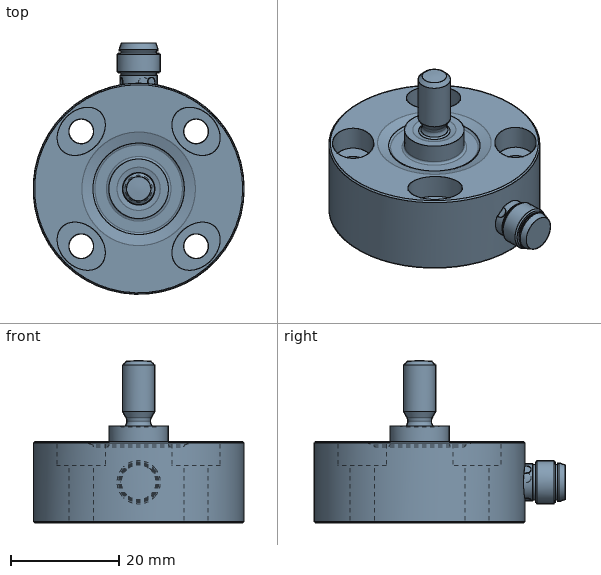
import cadquery as cq
import math

body_radius = 19.5
body_height = 15.0
body_chamfer = 0.3

dish_rim_radius = 10.5
dish_cone_radius = 8.45
dish_cone_depth = 0.6
dish_fillet = 0.35
collar_fillet = 0.45

collar_radius = 11.0 / 2
collar_top = body_height + 2.93
collar_dish_radius = 8.0 / 2
collar_dish_depth = 0.25
collar_dish_floor_radius = 5.8 / 2

stud_radius = 6.0 / 2
neck_radius = 4.4 / 2
root_radius = 2.5
root_height = 17.9
neck_bottom = 18.75
neck_top = 18.85
neck_flare_radius = 2.35
neck_flare_top = 19.45
stud_shoulder = 20.55
stud_top = 30.0
tip_height = 0.15
stud_chamfer = 0.75

mount_circle_radius = 15.0
mount_hole_diameter = 4.5
mount_angles = (45, 135, 225, 315)
pocket_half_length = 5.0
pocket_half_width = 3.8
pocket_depth = 4.4

connector_root = 16.7
connector_end = 26.95
stub_radius = 6.9 / 2
stub_end = 21.0
stub_chamfer = 0.1
groove_radius = 6.6 / 2
nut_radius = 8.0 / 2
nut_start = 21.4
nut_end = 25.05
nut_chamfer = 0.3
lip_radius = 7.2 / 2
lip_start = 25.5
lip_end = 25.75
connector_end_radius = 6.4 / 2

recess_diameter = 1.9
recess_depth = 0.2
recess_y = 19.65
recess_angles = (45, 165, 285)


def make_turned_body():
    """Body, dish, collar and stud as one revolved half profile."""
    dish_edge = body_height - dish_cone_depth
    dish_floor = dish_edge - dish_fillet
    collar_dish_floor = collar_top - collar_dish_depth
    root_spread = root_radius - neck_radius
    root_drop = neck_bottom - root_height
    root_arc_radius = (root_spread**2 + root_drop**2) / (2 * root_spread)
    root_arc_angle = math.asin(root_drop / root_arc_radius)
    stud_end = stud_top - tip_height
    diagonal = math.sqrt(0.5)
    fillet_sag = 1 - diagonal
    return (
        cq.Workplane("XZ")
        .lineTo(body_radius - body_chamfer, 0)
        .lineTo(body_radius, body_chamfer)
        .lineTo(body_radius, body_height - body_chamfer)
        .lineTo(body_radius - body_chamfer, body_height)
        .lineTo(dish_rim_radius, body_height)
        .lineTo(dish_cone_radius, dish_edge)
        .threePointArc(
            (dish_cone_radius - dish_fillet * fillet_sag, dish_floor + dish_fillet * fillet_sag),
            (dish_cone_radius - dish_fillet, dish_floor),
        )
        .lineTo(collar_radius + collar_fillet, dish_floor)
        .threePointArc(
            (collar_radius + collar_fillet * fillet_sag, dish_floor + collar_fillet * fillet_sag),
            (collar_radius, dish_floor + collar_fillet),
        )
        .lineTo(collar_radius, collar_top)
        .lineTo(collar_dish_radius, collar_top)
        .lineTo(collar_dish_floor_radius, collar_dish_floor)
        .lineTo(root_radius, root_height)
        .threePointArc(
            (neck_radius + root_arc_radius * (1 - math.cos(root_arc_angle / 2)),
             neck_bottom - root_arc_radius * math.sin(root_arc_angle / 2)),
            (neck_radius, neck_bottom),
        )
        .lineTo(neck_radius, neck_top)
        .tangentArcPoint((neck_flare_radius, neck_flare_top), relative=False)
        .lineTo(stud_radius, stud_shoulder)
        .lineTo(stud_radius, stud_end - stud_chamfer)
        .lineTo(stud_radius - stud_chamfer, stud_end)
        .lineTo(0, stud_top)
        .close()
        .revolve(360, (0, 0, 0), (0, 1, 0))
    )


def make_connector():
    """Turned connector along +Y: stub, nut and end lip separated by grooves."""
    connector = (
        cq.Workplane("XY")
        .moveTo(0, connector_root)
        .lineTo(stub_radius, connector_root)
        .lineTo(stub_radius, stub_end - stub_chamfer)
        .lineTo(stub_radius - stub_chamfer, stub_end)
        .lineTo(groove_radius, stub_end)
        .lineTo(groove_radius, nut_start)
        .lineTo(nut_radius - nut_chamfer, nut_start)
        .lineTo(nut_radius, nut_start + nut_chamfer)
        .lineTo(nut_radius, nut_end - nut_chamfer)
        .lineTo(nut_radius - nut_chamfer, nut_end)
        .lineTo(groove_radius, nut_end)
        .lineTo(groove_radius, lip_start)
        .lineTo(lip_radius, lip_start)
        .lineTo(lip_radius, lip_end)
        .lineTo(connector_end_radius, connector_end)
        .lineTo(0, connector_end)
        .close()
        .revolve(360, (0, 0, 0), (0, 1, 0))
    )
    for angle in recess_angles:
        connector = connector.cut(make_recess_cutter(angle))
    return connector.translate((0, 0, body_height / 2))


def make_recess_cutter(angle):
    """Radial cylinder that cuts one recess, turned from +X towards +Z."""
    cutter = (
        cq.Workplane("YZ", origin=(stub_radius - recess_depth, recess_y, 0))
        .circle(recess_diameter / 2)
        .extrude(stub_radius)
    )
    return cutter.rotate((0, 0, 0), (0, 1, 0), -angle)


def make_mount_cutters():
    """Through holes with elliptical pockets, long axis along the bolt circle."""
    cutter = (
        cq.Workplane("XY", origin=(mount_circle_radius, 0, 0))
        .circle(mount_hole_diameter / 2)
        .extrude(body_height)
    )
    pocket = (
        cq.Workplane("XY", origin=(mount_circle_radius, 0, body_height - pocket_depth))
        .ellipse(pocket_half_width, pocket_half_length)
        .extrude(pocket_depth)
    )
    cutter = cutter.union(pocket)
    return [cutter.rotate((0, 0, 0), (0, 0, 1), angle) for angle in mount_angles]


result = make_turned_body().union(make_connector())
for mount_cutter in make_mount_cutters():
    result = result.cut(mount_cutter)